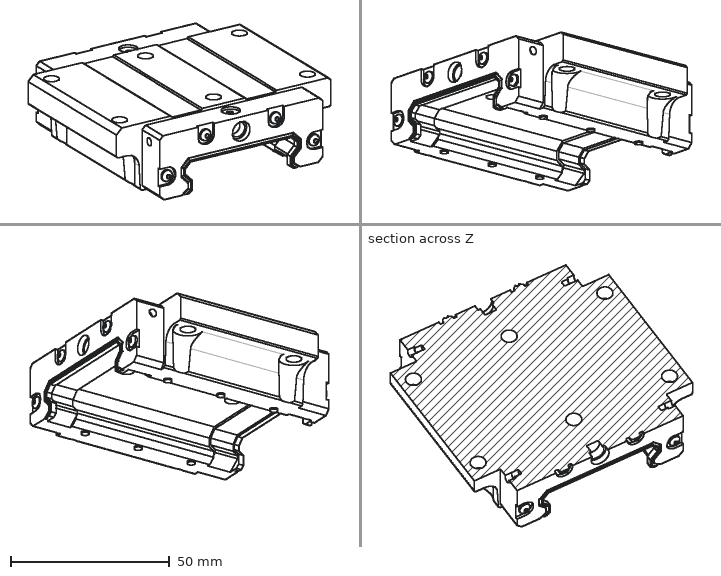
import cadquery as cq
import math


flange_width = 80.0
body_length = 52.0
body_height = 23.0
cap_length = 72.6
cap_width = 60.9
cap_height = 21.9

flange_underside_z = 13.0
top_chamfer = 1.0
datum_chamfer = 2.0
flange_lower_chamfer = 0.5
leg_half_width = 31.1
leg_draft = math.radians(3)
leg_fillet = 4.6
leg_chamfer = 0.6
relief_inner_y = 8.0
relief_outer_y = 19.8
relief_depth = 0.5

hole_x = 20.0
hole_y = 35.0
hole_diameter = 4.9
spotface_diameter = 9.6

opening_top_z = 12.2
opening_top_half = 19.5
waist_half = 22.3
waist_top_z = 9.4
waist_bottom_z = 6.3
throat_half = 19.8
throat_top_z = 3.8
throat_bottom_z = 1.7
mouth_half = 22.1

seal_groove_width = 0.2
seal_bevel_width = 0.6
seal_width = 1.4
seal_groove_depth = 0.6
seal_thickness = 1.8
passage_inset = 0.8
passage_throat_bottom_z = 3.4

cap_top_chamfer = 1.3
cap_bottom_chamfer = 1.7
port_x = 30.2
end_port_z = 17.0
end_port_diameter = 5.1
end_port_depth = 4.8
end_port_recess_diameter = 6.5
end_port_recess_depth = 2.0
top_port_recess_diameter = 6.0
top_port_recess_depth = 0.8
top_port_x = 29.6
top_port_diameter = 2.0
top_port_depth = 0.4
side_port_z = 18.0
side_port_diameter = 2.6
side_port_depth = 2.4
side_port_bore_x = 29.9
side_port_bore_diameter = 2.1
side_port_bore_depth = 4.8

pocket_width = 6.0
pocket_depth = 1.0
upper_screw_y = 13.0
upper_screw_z = 18.5
lower_screw_y = 27.4
lower_screw_z = 7.8
head_diameter = 3.8
head_rim_height = 0.6
head_protrusion = 0.7
socket_diameter = 1.3
socket_depth = 0.3

pin_diameter = 2.6
pin_height = 0.5
pin_y = 23.6

overrun = 4.0
cap_face_x = -cap_length / 2
cap_thickness = (cap_length - body_length) / 2
cap_half_width = cap_width / 2


def cylinder(plane, center, diameter, length):
    return cq.Workplane(plane, origin=center).circle(diameter / 2).extrude(length)


def mirrored_outline(half):
    """Closed YZ outline from the points of its +Y half."""
    other_half = [(-y, z) for y, z in reversed(half)]
    return cq.Workplane("YZ").polyline(half + other_half).close()


def opening_outline(inset, throat_end_z=throat_bottom_z):
    """Rail opening, narrowed by inset all round; its mouth runs on below the underside."""
    mouth_slope = (mouth_half - throat_half) / throat_bottom_z
    outline = mirrored_outline([
        (opening_top_half, opening_top_z),
        (waist_half, waist_top_z),
        (waist_half, waist_bottom_z),
        (throat_half, throat_top_z),
        (throat_half, throat_end_z),
        (throat_half + (throat_end_z + overrun) * mouth_slope, -overrun),
    ])
    if inset > 0:
        outline = outline.offset2D(-inset, "intersection")
    return outline


def along_x(outline, start_x, length):
    """Extrude a YZ outline in +X from start_x."""
    return outline.extrude(length).translate((start_x, 0, 0))


def half_body(edge_chamfer):
    """The +Y half of the body, without the rail opening."""
    edge = flange_width / 2
    fillet_center_z = flange_underside_z - leg_fillet
    fillet_end_z = fillet_center_z + leg_fillet * math.sin(leg_draft)
    fillet_end_y = leg_half_width + fillet_end_z * math.tan(leg_draft)
    fillet_center_y = fillet_end_y + leg_fillet * math.cos(leg_draft)
    middle_angle = (leg_draft + math.pi / 2) / 2
    fillet_middle = (
        fillet_center_y - leg_fillet * math.cos(middle_angle),
        fillet_center_z + leg_fillet * math.sin(middle_angle),
    )
    profile = (
        cq.Workplane("YZ")
        .lineTo(leg_half_width - leg_chamfer, 0)
        .lineTo(leg_half_width + leg_chamfer * math.tan(leg_draft), leg_chamfer)
        .lineTo(fillet_end_y, fillet_end_z)
        .threePointArc(fillet_middle, (fillet_center_y, flange_underside_z))
        .lineTo(edge - flange_lower_chamfer, flange_underside_z)
        .lineTo(edge, flange_underside_z + flange_lower_chamfer)
        .lineTo(edge, body_height - edge_chamfer)
        .lineTo(edge - edge_chamfer, body_height)
        .lineTo(relief_outer_y, body_height)
        .lineTo(relief_outer_y - relief_depth, body_height - relief_depth)
        .lineTo(relief_inner_y + relief_depth, body_height - relief_depth)
        .lineTo(relief_inner_y, body_height)
        .lineTo(0, body_height)
        .close()
    )
    return along_x(profile, -body_length / 2, body_length)


def make_body():
    body = half_body(top_chamfer).union(half_body(datum_chamfer).mirror("XZ"))
    body = body.cut(along_x(opening_outline(0), -body_length / 2, body_length))

    for x in (-hole_x, 0, hole_x):
        for y in (-pin_y, pin_y):
            body = body.union(cylinder("XY", (x, y, -pin_height), pin_diameter, 2 * pin_height))

    for x in (-hole_x, hole_x):
        for y in (-hole_y, 0, hole_y):
            body = body.cut(cylinder("XY", (x, y, 0), hole_diameter, body_height))
        for y in (-hole_y, hole_y):
            body = body.cut(cylinder("XY", (x, y, 0), spotface_diameter, flange_underside_z))
    return body


def cut_rail_passage(cap):
    """Cut the passage and the seal opening, then the groove around the bevelled seal lip."""
    passage = opening_outline(passage_inset, passage_throat_bottom_z)
    cap = cap.cut(along_x(passage, cap_face_x + seal_thickness, cap_thickness))
    cap = cap.cut(along_x(opening_outline(seal_width), cap_face_x, seal_thickness))

    lip_base = opening_outline(seal_groove_width).val()
    lip_front = opening_outline(seal_groove_width + seal_bevel_width).val()
    lip = cq.Solid.makeLoft(
        [
            lip_base.translate(cq.Vector(cap_face_x + seal_groove_depth, 0, 0)),
            lip_front.translate(cq.Vector(cap_face_x, 0, 0)),
        ],
        True,
    )
    groove = along_x(opening_outline(0), cap_face_x, seal_groove_depth).cut(cq.Workplane(lip))
    return cap.cut(groove)


def cut_ports(cap):
    """Cut the stepped grease ports in the end, the top and both sides."""
    end = (cap_face_x, 0, end_port_z)
    cap = cap.cut(cylinder("YZ", end, end_port_recess_diameter, end_port_recess_depth))
    cap = cap.cut(cylinder("YZ", end, end_port_diameter, end_port_depth))

    recess_floor_z = cap_height - top_port_recess_depth
    recess = cylinder("XY", (-port_x, 0, recess_floor_z), top_port_recess_diameter, overrun)
    top_port = (-top_port_x, 0, recess_floor_z - top_port_depth)
    cap = cap.cut(recess).cut(cylinder("XY", top_port, top_port_diameter, overrun))

    side = (-port_x, -cap_half_width, side_port_z)
    side_bore = (-side_port_bore_x, -cap_half_width, side_port_z)
    port = cylinder("XZ", side, side_port_diameter, -side_port_depth)
    port = port.union(cylinder("XZ", side_bore, side_port_bore_diameter, -side_port_bore_depth))
    return cap.cut(port).cut(port.mirror("XZ"))


def make_screw_head():
    """Button head pointing to -X, with its base at the origin and its dome meeting the socket rim."""
    rim = head_diameter / 2
    socket = socket_diameter / 2
    height = pocket_depth + head_protrusion
    rise = height - head_rim_height
    center_depth = (rim**2 - socket**2 - rise**2) / (2 * rise)
    dome_radius = math.hypot(rim, center_depth)
    middle_angle = (math.asin(rim / dome_radius) + math.asin(socket / dome_radius)) / 2
    dome_middle = (
        center_depth - head_rim_height - dome_radius * math.cos(middle_angle),
        dome_radius * math.sin(middle_angle),
    )
    profile = (
        cq.Workplane("XY")
        .lineTo(0, rim)
        .lineTo(-head_rim_height, rim)
        .threePointArc(dome_middle, (-height, socket))
        .lineTo(socket_depth - height, socket)
        .lineTo(socket_depth - height, 0)
        .close()
    )
    return profile.revolve(360, (0, 0, 0), (1, 0, 0))


def add_screw(cap, y, z, open_angle):
    """Cut a round-ended pocket that runs out at open_angle (0 is +Y, 90 is +Z) and seat a screw."""
    run_out = pocket_width + overrun
    channel = cq.Workplane("YZ").center(run_out / 2, 0).rect(run_out, pocket_width)
    pocket = cylinder("YZ", (0, 0, 0), pocket_width, pocket_depth)
    pocket = pocket.union(channel.extrude(pocket_depth))
    pocket = pocket.rotate((0, 0, 0), (1, 0, 0), open_angle).translate((cap_face_x, y, z))
    head = make_screw_head().translate((cap_face_x + pocket_depth, y, z))
    return cap.cut(pocket).union(head)


def make_cap():
    """End cap on the -X side."""
    outline = mirrored_outline([
        (cap_half_width - cap_bottom_chamfer, 0),
        (cap_half_width, cap_bottom_chamfer),
        (cap_half_width, cap_height - cap_top_chamfer),
        (cap_half_width - cap_top_chamfer, cap_height),
    ])
    cap = along_x(outline, cap_face_x, cap_thickness)
    cap = cut_rail_passage(cap)
    cap = cut_ports(cap)
    cap = add_screw(cap, upper_screw_y, upper_screw_z, 90)
    cap = add_screw(cap, -upper_screw_y, upper_screw_z, 90)
    cap = add_screw(cap, lower_screw_y, lower_screw_z, 0)
    cap = add_screw(cap, -lower_screw_y, lower_screw_z, 180)
    return cap


left_cap = make_cap()
result = make_body().union(left_cap).union(left_cap.mirror("YZ"))